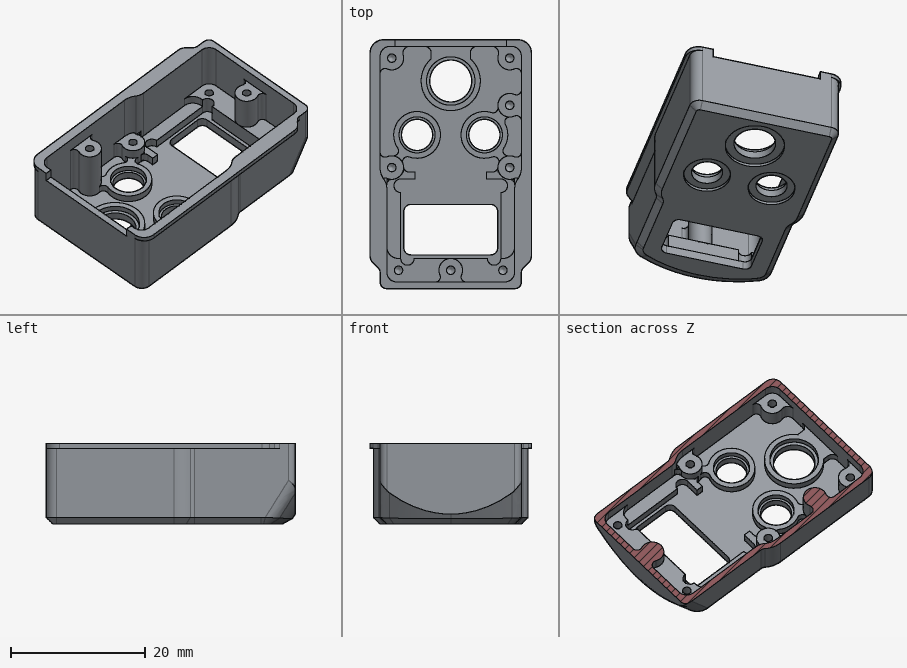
import cadquery as cq
import math

HEIGHT = 12.0
HALF_LENGTH = 18.5
WALL = 1.0
FLOOR = 1.5
SIDES = (-1, 1)
MARGIN = 1.0

BODY_WIDE = 11.5
STEP = 1.0
BODY_NARROW = BODY_WIDE - STEP
BODY_BACK_RADIUS = 1.5
BODY_FRONT_RADIUS = 1.0
CAVITY_WIDE = BODY_WIDE - WALL
CAVITY_NARROW = BODY_NARROW - WALL
CAVITY_END = HALF_LENGTH - WALL
CAVITY_RADIUS = 1.5
STEP_Y = -0.5
STEP_OUTER_RADIUS = 4.0
STEP_INNER_RADIUS = 1.0
BOTTOM_CHAMFER = 1.0

RIM_WIDE = 12.0
RIM_THICKNESS = 0.75
RIM_BACK_RADIUS = 2.0
RIM_TAPER_Y = -14.2
RIM_TAPER_OUTER_RADIUS = 1.5
RIM_TAPER_INNER_RADIUS = 1.0
NOTCH_HALF_WIDTH = 8.3
NOTCH_DEPTH = 1.5

BOW_RADIUS = 22.0
BOW_CORNER_RADIUS = 2.4
BOW_BOTTOM_Z = 1.48
BOW_SLOPE = 1.6
BOW_SHOULDER_Y = -4.5

POST_RADIUS = 1.75
FILLET = 0.75
BACK_WALL_FILLET = 1.0
POST_X = CAVITY_WIDE - POST_RADIUS
BACK_POST_Y = CAVITY_END - POST_RADIUS
TALL_POST_Y = 8.75
MIDDLE_POST_Y = STEP_Y
FRONT_POST_Y = POST_RADIUS - CAVITY_END
FRONT_HOLE_X = CAVITY_NARROW - POST_RADIUS
POST_TOP = 4.3
TALL_POST_TOP = 9.8
SCREW_DIAMETER = 1.25
SCREW_DEPTH = 2.0
DRILL_TIP_ANGLE = 118.0

RING_TOP = 2.7
RING_WALL = 0.8
RING_LEDGE_Z = 1.8
UNDERSIDE_RECESS = 0.5
LARGE_WEB_HALF_WIDTH = 2.9
LARGE_RING = (0.0, 12.35)
LARGE_BORE = 6.2
LARGE_COUNTERBORE = 7.2
SMALL_RING_X = 5.0
SMALL_RING_Y = 4.35
SMALL_BORE = 4.6
SMALL_COUNTERBORE = 5.35
LARGE_RADIUS = LARGE_COUNTERBORE / 2 + RING_WALL
SMALL_RADIUS = SMALL_COUNTERBORE / 2 + RING_WALL

FRAME_TOP = 2.9
FRAME_BACK_Y = -1.15
SEAT_BACK_Y = -2.2
SEAT_FRONT_Y = -14.0
SEAT_HALF_WIDTH = 7.43
RELIEF_RADIUS = 1.0
RIB_END_X = 5.3
FRONT_SHELF_TOP = POST_TOP
WINDOW_HALF_WIDTH = 6.95
WINDOW_BACK_Y = -6.0
WINDOW_FRONT_Y = -13.45
WINDOW_RADIUS = 1.0


def block(x0, x1, y0, y1, z0, z1):
    return cq.Workplane("XY").box(x1 - x0, y1 - y0, z1 - z0, centered=False).translate((x0, y0, z0))


def cylinder(center, radius, z0, z1):
    return cq.Workplane("XY", origin=(0, 0, z0)).center(*center).circle(radius).extrude(z1 - z0)


def mirrored(half):
    """The half lying on one side of X = 0, joined to its mirror image."""
    return half.union(half.mirror("YZ"))


def stepped_prism(wide, narrow, end_y, step_radius, neck_radius, back_radius, front_radius, z0):
    """Prism up to the top, its sides stepping in through two tangent arcs."""
    arc_x = wide - step_radius
    neck_x = narrow + neck_radius
    center_gap = step_radius + neck_radius
    neck_y = STEP_Y - math.sqrt(center_gap**2 - (neck_x - arc_x) ** 2)
    share = step_radius / center_gap
    meet = (arc_x + (neck_x - arc_x) * share, STEP_Y + (neck_y - STEP_Y) * share)
    half = (
        cq.Workplane("XY", origin=(0, 0, z0))
        .moveTo(0, end_y)
        .lineTo(wide, end_y)
        .lineTo(wide, STEP_Y)
        .tangentArcPoint(meet, relative=False)
        .tangentArcPoint((narrow, neck_y), relative=False)
        .lineTo(narrow, -end_y)
        .lineTo(0, -end_y)
        .close()
        .extrude(HEIGHT - z0)
    )
    prism = mirrored(half)
    prism = prism.edges("|Z").edges(">Y").fillet(back_radius)
    return prism.edges("|Z").edges("<Y").fillet(front_radius)


def bow_prism():
    """Leaning prism whose bowed -Y end moves outward as it rises."""
    lean = HEIGHT / BOW_SLOPE
    tip_y = BOW_BOTTOM_Z / BOW_SLOPE - HALF_LENGTH
    bow_center_y = tip_y + BOW_RADIUS
    round_x = BODY_NARROW - BOW_CORNER_RADIUS
    center_gap = BOW_RADIUS - BOW_CORNER_RADIUS
    round_drop = math.sqrt(center_gap**2 - round_x**2)
    round_y = bow_center_y - round_drop
    share = BOW_RADIUS / center_gap
    meet = (round_x * share, bow_center_y - round_drop * share)
    half_angle = math.asin(meet[0] / BOW_RADIUS) / 2
    midway = (BOW_RADIUS * math.sin(half_angle), bow_center_y - BOW_RADIUS * math.cos(half_angle))
    outer_x = BODY_WIDE + MARGIN
    far_y = HALF_LENGTH + lean + MARGIN
    outline = (
        cq.Workplane("XY")
        .moveTo(0, tip_y)
        .threePointArc(midway, meet)
        .tangentArcPoint((BODY_NARROW, round_y), relative=False)
        .lineTo(BODY_NARROW, BOW_SHOULDER_Y)
        .lineTo(outer_x, BOW_SHOULDER_Y)
        .lineTo(outer_x, far_y)
        .lineTo(0, far_y)
        .close()
        .wire()
        .val()
    )
    return mirrored(cq.Workplane(cq.Solid.extrudeLinear(outline, [], cq.Vector(0, -lean, HEIGHT))))


def outer_body():
    body = stepped_prism(
        BODY_WIDE, BODY_NARROW, HALF_LENGTH, STEP_OUTER_RADIUS, STEP_INNER_RADIUS,
        BODY_BACK_RADIUS, BODY_FRONT_RADIUS, 0,
    )
    body = body.intersect(bow_prism())
    return body.faces("<Z").edges().chamfer(BOTTOM_CHAMFER)


def rim():
    """Flange around the open top, tapering in to the narrow end."""
    taper_end_y = RIM_TAPER_Y - (RIM_WIDE - BODY_NARROW)
    half = (
        cq.Workplane("XY", origin=(0, 0, HEIGHT - RIM_THICKNESS))
        .moveTo(0, HALF_LENGTH)
        .lineTo(RIM_WIDE, HALF_LENGTH)
        .lineTo(RIM_WIDE, RIM_TAPER_Y)
        .lineTo(BODY_NARROW, taper_end_y)
        .lineTo(BODY_NARROW, -HALF_LENGTH)
        .lineTo(0, -HALF_LENGTH)
        .close()
        .extrude(RIM_THICKNESS)
    )
    corners = (
        (RIM_WIDE, HALF_LENGTH, RIM_BACK_RADIUS),
        (RIM_WIDE, RIM_TAPER_Y, RIM_TAPER_OUTER_RADIUS),
        (BODY_NARROW, taper_end_y, RIM_TAPER_INNER_RADIUS),
        (BODY_NARROW, -HALF_LENGTH, BODY_FRONT_RADIUS),
    )
    for x, y, radius in corners:
        corner = cq.selectors.NearestToPointSelector((x, y, HEIGHT - RIM_THICKNESS / 2))
        half = half.edges(corner).fillet(radius)
    return mirrored(half)


def cavity():
    """The inside of the walls, one wall thickness in from the body."""
    return stepped_prism(
        CAVITY_WIDE, CAVITY_NARROW, CAVITY_END, STEP_OUTER_RADIUS - WALL, STEP_INNER_RADIUS + WALL,
        CAVITY_RADIUS, CAVITY_RADIUS, FLOOR,
    )


def box_between(corner_a, corner_b, top):
    """Block standing on the floor between two opposite plan corners."""
    (xa, ya), (xb, yb) = corner_a, corner_b
    return block(min(xa, xb), max(xa, xb), min(ya, yb), max(ya, yb), FLOOR, top)


def corner_fill(corner, side_x, side_y, radius, top):
    """Concave fillet in a plan corner, opening toward (side_x, side_y)."""
    center = (corner[0] + side_x * radius, corner[1] + side_y * radius)
    return box_between(corner, center, top).cut(cylinder(center, radius, FLOOR, top))


def wall_post(center, top, walls):
    """Round post joined to walls by filleted webs.

    Each wall is given as its direction (degrees from +Y), its distance and its fillet radius.
    """
    post = cylinder(center, POST_RADIUS, FLOOR, top)
    for turn, distance, fillet in walls:
        fillet_y = distance - fillet
        fillet_x = math.sqrt((POST_RADIUS + fillet) ** 2 - fillet_y**2)
        foot = [(-fillet_x, fillet_y), (-fillet_x, distance), (fillet_x, distance), (fillet_x, fillet_y)]
        outline = cq.Workplane("XY", origin=(0, 0, FLOOR)).polyline([(0, 0)] + foot).close()
        web = outline.extrude(top - FLOOR)
        for side in SIDES:
            web = web.cut(cylinder((side * fillet_x, fillet_y), fillet, FLOOR, top))
        post = post.union(web.rotate((0, 0, 0), (0, 0, 1), turn).translate((*center, 0)))
    return post


def side_wall(side):
    """A wide side wall as seen from a post beside it."""
    return (-side * 90, CAVITY_WIDE - POST_X, FILLET)


def back_post(side):
    """Post in a back corner, joined to the side and back walls."""
    walls = [side_wall(side), (0, POST_RADIUS, BACK_WALL_FILLET)]
    return wall_post((side * POST_X, BACK_POST_Y), POST_TOP, walls)


def middle_post(side):
    """Post where the cavity narrows, joined to the side wall and flared onto the narrow wall."""
    post = wall_post((side * POST_X, MIDDLE_POST_Y), POST_TOP, [side_wall(side)])
    flank = (side * CAVITY_NARROW, MIDDLE_POST_Y - POST_RADIUS)
    return post.union(corner_fill(flank, -side, -1, FILLET, POST_TOP))


def small_ring_web(side, post_y):
    """Web joining a small ring to a side post, bounded by a fillet on each flank."""
    ring = cq.Vector(side * SMALL_RING_X, SMALL_RING_Y)
    post = cq.Vector(side * POST_X, post_y)
    axis = post - ring
    gap = axis.Length
    across = cq.Vector(-axis.y, axis.x) / gap
    ring_reach = SMALL_RADIUS + FILLET
    post_reach = POST_RADIUS + FILLET
    along = (ring_reach**2 - post_reach**2 + gap**2) / (2 * gap)
    offset = math.sqrt(ring_reach**2 - along**2)
    middle = ring + axis * (along / gap)
    fillets = [middle + across * (flank * offset) for flank in SIDES]
    corners = [(p.x, p.y) for p in (ring, fillets[0], post, fillets[1])]
    web = cq.Workplane("XY", origin=(0, 0, FLOOR)).polyline(corners).close().extrude(RING_TOP - FLOOR)
    for fillet in fillets:
        web = web.cut(cylinder((fillet.x, fillet.y), FILLET, FLOOR, RING_TOP))
    return web


def large_ring_web():
    """Web joining the large ring to the back wall, flared at the wall."""
    x, y = LARGE_RING
    web = box_between((x - LARGE_WEB_HALF_WIDTH, y), (x + LARGE_WEB_HALF_WIDTH, CAVITY_END), RING_TOP)
    for side in SIDES:
        foot = (x + side * LARGE_WEB_HALF_WIDTH, CAVITY_END)
        web = web.union(corner_fill(foot, side, -1, BACK_WALL_FILLET, RING_TOP))
    return web.cut(cylinder(LARGE_RING, LARGE_RADIUS, FLOOR, RING_TOP))


def display_frame():
    """Raised border of the display seat, with a higher shelf along the front wall."""
    frame = box_between((-CAVITY_WIDE, FRAME_BACK_Y), (CAVITY_WIDE, -CAVITY_END), FRAME_TOP)
    shelf = box_between((-CAVITY_NARROW, SEAT_FRONT_Y), (CAVITY_NARROW, -CAVITY_END), FRONT_SHELF_TOP)
    frame = frame.union(shelf)
    frame = frame.cut(box_between((-RIB_END_X, FRAME_BACK_Y), (RIB_END_X, SEAT_BACK_Y), FRAME_TOP))
    for side in SIDES:
        shelf_corner = (side * CAVITY_NARROW, SEAT_FRONT_Y)
        frame = frame.union(corner_fill(shelf_corner, -side, 1, POST_RADIUS, FRONT_SHELF_TOP))
        rib_root = (side * (POST_X - POST_RADIUS), FRAME_BACK_Y)
        frame = frame.union(corner_fill(rib_root, -side, 1, FILLET, FRAME_TOP))
    seat_back = (-SEAT_HALF_WIDTH, SEAT_BACK_Y)
    frame = frame.cut(box_between(seat_back, (SEAT_HALF_WIDTH, SEAT_FRONT_Y), FRONT_SHELF_TOP))
    for side in SIDES:
        back_relief = (side * SEAT_HALF_WIDTH, SEAT_BACK_Y - RELIEF_RADIUS)
        front_relief = (side * (SEAT_HALF_WIDTH - RELIEF_RADIUS), SEAT_FRONT_Y)
        for center in (back_relief, front_relief):
            frame = frame.cut(cylinder(center, RELIEF_RADIUS, FLOOR, FRONT_SHELF_TOP))
    return frame


def screw_hole(x, y, top):
    """Blind pilot hole with a drill-point bottom."""
    radius = SCREW_DIAMETER / 2
    tip = radius / math.tan(math.radians(DRILL_TIP_ANGLE / 2))
    point = cq.Solid.makeCone(0, radius, tip, cq.Vector(x, y, top - SCREW_DEPTH - tip))
    return cylinder((x, y), radius, top - SCREW_DEPTH, top).union(cq.Workplane(point))


def ring_bore(center, bore, counterbore, recess_radius):
    """Through hole, counterbored from the top of its ring and recessed from the underside."""
    hole = cylinder(center, bore / 2, 0, RING_TOP)
    hole = hole.union(cylinder(center, counterbore / 2, RING_LEDGE_Z, RING_TOP))
    return hole.union(cylinder(center, recess_radius, 0, UNDERSIDE_RECESS))


def display_window():
    window = block(-WINDOW_HALF_WIDTH, WINDOW_HALF_WIDTH, WINDOW_FRONT_Y, WINDOW_BACK_Y, 0, FLOOR)
    return window.edges("|Z").fillet(WINDOW_RADIUS)


small_rings = [(side * SMALL_RING_X, SMALL_RING_Y) for side in SIDES]

inside = cavity()
body = outer_body()
shell = body.union(rim()).cut(inside)
shell = shell.cut(
    block(
        -NOTCH_HALF_WIDTH, NOTCH_HALF_WIDTH, CAVITY_END - MARGIN, HALF_LENGTH + MARGIN,
        HEIGHT - NOTCH_DEPTH, HEIGHT,
    )
)

raised = display_frame()
raised = raised.union(wall_post((0, FRONT_POST_Y), TALL_POST_TOP, [(180, POST_RADIUS, FILLET)]))
raised = raised.union(wall_post((POST_X, TALL_POST_Y), TALL_POST_TOP, [side_wall(1)]))
raised = raised.union(cylinder(LARGE_RING, LARGE_RADIUS, FLOOR, RING_TOP)).union(large_ring_web())
for center in small_rings:
    raised = raised.union(cylinder(center, SMALL_RADIUS, FLOOR, RING_TOP))
for side in SIDES:
    raised = raised.union(back_post(side)).union(middle_post(side))
    raised = raised.union(small_ring_web(side, MIDDLE_POST_Y))
raised = raised.union(small_ring_web(1, TALL_POST_Y))
result = shell.union(raised.intersect(inside).intersect(body))

result = result.cut(display_window())
result = result.cut(ring_bore(LARGE_RING, LARGE_BORE, LARGE_COUNTERBORE, LARGE_RADIUS))
for center in small_rings:
    result = result.cut(ring_bore(center, SMALL_BORE, SMALL_COUNTERBORE, SMALL_RADIUS))
for side in SIDES:
    result = result.cut(screw_hole(side * POST_X, BACK_POST_Y, POST_TOP))
    result = result.cut(screw_hole(side * POST_X, MIDDLE_POST_Y, POST_TOP))
    result = result.cut(screw_hole(side * FRONT_HOLE_X, FRONT_POST_Y, FRONT_SHELF_TOP))
result = result.cut(screw_hole(POST_X, TALL_POST_Y, TALL_POST_TOP))
result = result.cut(screw_hole(0, FRONT_POST_Y, TALL_POST_TOP))